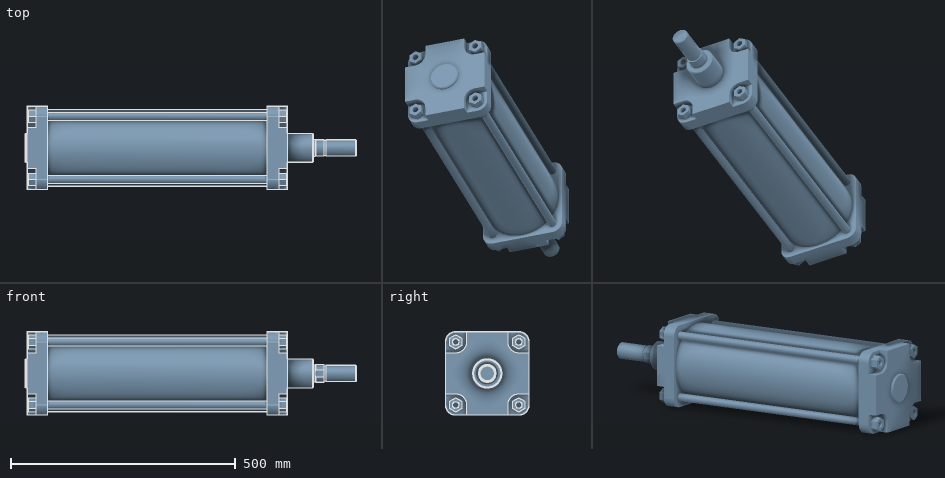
import cadquery as cq

total_length = 738.0

cap_side = 186.0
cap_length = 46.0
cap_corner_radius = 23.0
rear_cap_start = 5.0
front_cap_start = 538.0

boss_radius = 32.5
boss_chamfer = 2.0
front_boss_end = 642.0

rear_pocket_depth = 20.0
front_pocket_depth = 18.5
pocket_radius = 24.0

barrel_radius = 85.5

tie_rod_radius = 9.0
nut_across_flats = 27.0
nut_length = 17.0
nut_bore_radius = 7.0

shank_radius = 19.0
collar_start = 646.0
collar_end = 666.0
collar_radius = 20.0
collar_chamfer_length = 1.5
wrench_across_flats = 37.0
relief_radius = 17.0
relief_end = 670.0
tip_radius = 18.5
tip_chamfer = 2.0

rear_cap_end = rear_cap_start + cap_length
front_cap_end = front_cap_start + cap_length
rear_nut_seat = rear_cap_start + rear_pocket_depth
front_nut_seat = front_cap_end - front_pocket_depth
tie_offset = cap_side / 2 - cap_corner_radius
tie_places = [(y, z) for y in (-tie_offset, tie_offset) for z in (-tie_offset, tie_offset)]


def plane_at(x, place=(0, 0)):
    """A workplane facing +X at the given X position, centred on a (Y, Z) place."""
    return cq.Workplane("YZ", origin=(x, *place))


def round_bar(radius, start, end, place=(0, 0)):
    """A cylinder along X between two X positions."""
    return plane_at(start, place).circle(radius).extrude(end - start)


def corner_pocket(start, depth, place):
    """Pocket around one tie rod, open to both outer sides of its corner and rounded at the inner one."""
    y, z = place
    inner_y_face = ">Y" if y < 0 else "<Y"
    inner_z_edge = ">Z" if z < 0 else "<Z"
    pocket = plane_at(start, place).rect(2 * pocket_radius, 2 * pocket_radius).extrude(depth)
    return pocket.faces(inner_y_face).edges(inner_z_edge).fillet(pocket_radius)


def make_cap(start, boss, pocket_start, pocket_depth):
    """Square cap with a boss, and with a nut pocket and a tie rod hole in every corner."""
    block = plane_at(start).rect(cap_side, cap_side).extrude(cap_length)
    cap = block.edges("|X").fillet(cap_corner_radius).union(boss)
    for place in tie_places:
        cap = cap.cut(corner_pocket(pocket_start, pocket_depth, place))
        cap = cap.cut(round_bar(tie_rod_radius, start, start + cap_length, place))
    return cap


def make_rear_cap():
    boss = round_bar(boss_radius, 0, rear_cap_start).faces("<X").chamfer(boss_chamfer)
    return make_cap(rear_cap_start, boss, rear_cap_start, rear_pocket_depth)


def make_front_cap():
    boss = round_bar(boss_radius, front_cap_end, front_boss_end).faces(">X").chamfer(boss_chamfer)
    cap = make_cap(front_cap_start, boss, front_nut_seat, front_pocket_depth)
    rod_bore = round_bar(shank_radius, front_cap_start, front_boss_end)
    return cap.cut(rod_bore)


def make_barrel():
    return round_bar(barrel_radius, rear_cap_end, front_cap_start)


def make_collar():
    """Collar chamfered down to the shank, with wrench flats facing -Y and +Y."""
    chamfer_height = collar_radius - shank_radius
    collar = round_bar(collar_radius, collar_start, collar_end)
    collar = collar.faces("<X").chamfer(collar_chamfer_length, chamfer_height)
    between_flats = plane_at(collar_start).rect(wrench_across_flats, 2 * collar_radius)
    return collar.intersect(between_flats.extrude(collar_end - collar_start))


def make_piston_rod():
    shank = round_bar(shank_radius, front_cap_start, collar_start)
    relief = round_bar(relief_radius, collar_end, relief_end)
    tip = round_bar(tip_radius, relief_end, total_length).faces(">X").chamfer(tip_chamfer)
    return shank.union(make_collar()).union(relief).union(tip)


def make_nut(start, place):
    """Hexagon nut with its corners pointing up and down and an open bore."""
    nut = plane_at(start, place).polygon(6, nut_across_flats, circumscribed=True).extrude(nut_length)
    return nut.cut(round_bar(nut_bore_radius, start, start + nut_length, place))


def make_tie_rod(place):
    """Rod between the two pocket floors, with its nuts seated on them."""
    rod = round_bar(tie_rod_radius, rear_nut_seat, front_nut_seat, place)
    rear_nut = make_nut(rear_nut_seat - nut_length, place)
    front_nut = make_nut(front_nut_seat, place)
    return rod.union(rear_nut).union(front_nut)


rear_cap = make_rear_cap()
front_cap = make_front_cap()
barrel = make_barrel()
piston_rod = make_piston_rod()
tie_rods = [make_tie_rod(place) for place in tie_places]

result = cq.Compound.makeCompound([
    rear_cap.val(),
    front_cap.val(),
    barrel.val(),
    piston_rod.val(),
    *[tie_rod.val() for tie_rod in tie_rods],
])